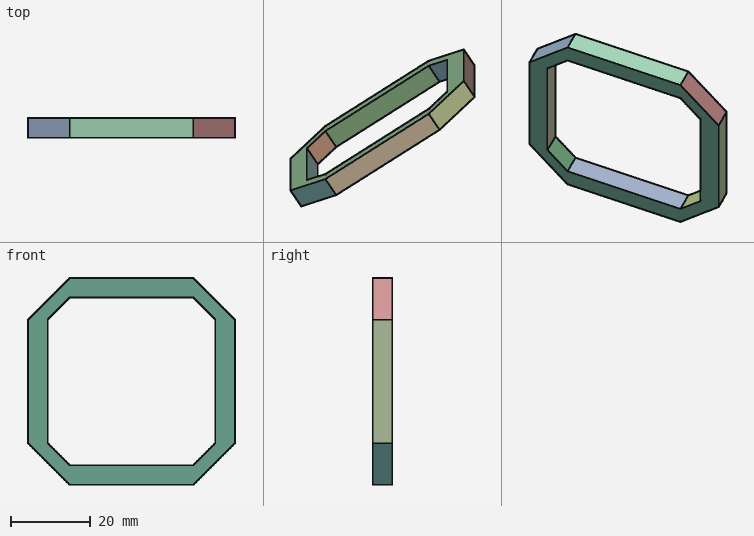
import cadquery as cq

outer_side = 52.0
wall = 5.0
depth = 5.0
outer_corner_cut = 10.5

inner_side = outer_side - 2 * wall
inner_corner_cut = outer_corner_cut - wall


def octagonal_block(side, corner_cut):
    """Square block lying in XZ, centred on the origin, with its four corners cut at 45 degrees."""
    return cq.Workplane("XY").box(side, depth, side).edges("|Y").chamfer(corner_cut)


outer_block = octagonal_block(outer_side, outer_corner_cut)
opening = octagonal_block(inner_side, inner_corner_cut)

result = outer_block.cut(opening)